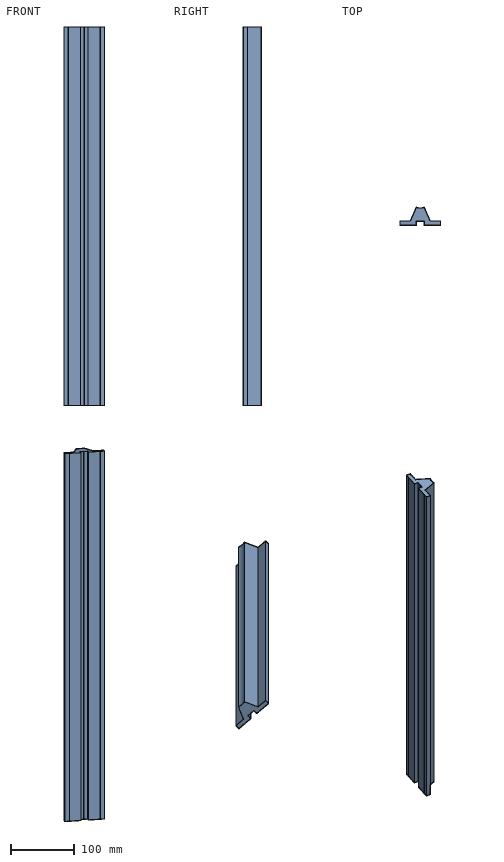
import cadquery as cq
import math

length = 599.5
width = 65.0
depth = 29.0

flange_thickness = 7.0
rib_root_width = 32.0
rib_tip_width = 12.5
seat_radius = 17.5

channel_width = 12.5
channel_depth = 6.5

score_width = 0.5
score_depth = 0.3
score_offset = 25.0

seat_depth = seat_radius - math.sqrt(seat_radius**2 - (rib_tip_width / 2) ** 2)

front_y = -depth / 2
back_y = depth / 2
flange_back_y = front_y + flange_thickness
channel_floor_y = front_y + channel_depth


def make_flange():
    """Flat plate spanning the full width."""
    return cq.Workplane("XY").rect(width, flange_thickness).extrude(length).translate(
        (0, front_y + flange_thickness / 2, -length / 2)
    )


def make_rib():
    """Symmetric tapered rib with a concave arc along its tip."""
    return (
        cq.Workplane("XY")
        .workplane(offset=-length / 2)
        .polyline([
            (-rib_root_width / 2, flange_back_y),
            (rib_root_width / 2, flange_back_y),
            (rib_tip_width / 2, back_y),
        ])
        .threePointArc((0, back_y - seat_depth), (-rib_tip_width / 2, back_y))
        .close()
        .extrude(length)
    )


def make_channel():
    """Cutter for the channel in the front face."""
    return cq.Workplane("XY").box(channel_width, channel_depth, length).translate(
        (0, front_y + channel_depth / 2, 0)
    )


def make_score(x, surface_y):
    """Cutter for a V-shaped line sunk into a surface facing -Y."""
    return (
        cq.Workplane("XY")
        .workplane(offset=-length / 2)
        .polyline([
            (x - score_width / 2, surface_y),
            (x + score_width / 2, surface_y),
            (x, surface_y + score_depth),
        ])
        .close()
        .extrude(length)
    )


result = make_flange().union(make_rib()).cut(make_channel())
result = result.cut(make_score(0, channel_floor_y))
for side in (-1, 1):
    result = result.cut(make_score(side * score_offset, front_y))